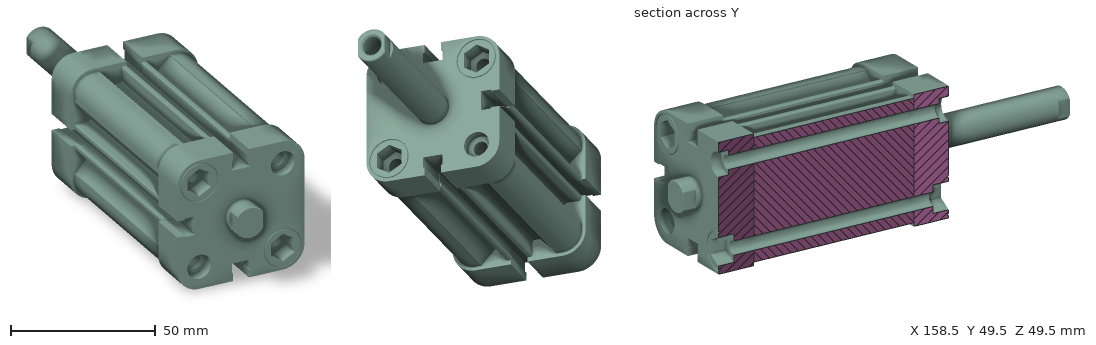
import cadquery as cq
import math


ROD_LENGTH = 158.5
FRONT_STICK_OUT = 57.0
REAR_STICK_OUT = 7.0
CAP_THICKNESS = 14.5
FRONT_CAP_X = FRONT_STICK_OUT
BARREL_X = FRONT_CAP_X + CAP_THICKNESS
REAR_CAP_X = ROD_LENGTH - REAR_STICK_OUT - CAP_THICKNESS
BARREL_LENGTH = REAR_CAP_X - BARREL_X

ROD_DIAMETER = 12.0
ROD_CHAMFER = 0.3
WRENCH_SIZE = 10.0
WRENCH_FLAT_LENGTH = 5.0
THREAD_DIAMETER = 6.8
THREAD_DEPTH = 12.7
THREAD_MOUTH_DIAMETER = 8.1
DRILL_TIP_ANGLE = 118.0

CAP_SIZE = 49.5
HOLE_SPACING = 32.5
HOLE_OFFSET = HOLE_SPACING / 2
CAP_CORNER_RADIUS = (CAP_SIZE - HOLE_SPACING) / 2
HOLE_DIAMETER = 5.2
COUNTERBORE_DIAMETER = 9.2
COUNTERBORE_DEPTH = 2.5
HEX_SIZE = 9.2
HEX_DEPTH = 4.0
RING_OUTER_DIAMETER = 14.7
RING_INNER_DIAMETER = 13.8
RING_DEPTH = 0.3

CAP_SLOT_DEPTH = 6.8
CAP_SLOT_MOUTH_WIDTH = 6.2
CAP_SLOT_MOUTH_DEPTH = 3.0
CAP_SLOT_INNER_WIDTH = 7.1

BARREL_SIZE = 46.8
TUBE_RADIUS = (BARREL_SIZE - HOLE_SPACING) / 2
TUBE_EDGE = 13.8
VALLEY_OUTER = 8.4
VALLEY_FLOOR = 17.0
VALLEY_INNER = 5.5

RIB_SIDE = 4.9
RIB_TOP = 23.1
RIB_FOOT_CHAMFER = VALLEY_INNER - RIB_SIDE
RIB_ROUNDING = 0.8
LIP_WIDTH = 5.4
LIP_CHAMFER = 0.5
LIP_BOTTOM = 21.7
BARREL_SLOT_WIDTH = 6.7
BARREL_SLOT_FLOOR = CAP_SIZE / 2 - CAP_SLOT_DEPTH

SLOTTED_SIDES = (0, 90, 180)


def plane_at(x):
    """Cross-section plane at x, with local x along +Y and local y along +Z."""
    return cq.Workplane(cq.Plane(origin=(x, 0, 0), xDir=(0, 1, 0), normal=(1, 0, 0)))


def corner_points():
    return [(y, z) for y in (-HOLE_OFFSET, HOLE_OFFSET) for z in (-HOLE_OFFSET, HOLE_OFFSET)]


def on_slotted_sides(feature):
    return [feature.rotate((0, 0, 0), (1, 0, 0), angle) for angle in SLOTTED_SIDES]


def make_cap_slot(x):
    mouth_height = CAP_SLOT_MOUTH_DEPTH
    inner_height = CAP_SLOT_DEPTH - CAP_SLOT_MOUTH_DEPTH
    top = CAP_SIZE / 2
    mouth = plane_at(x).center(0, top - mouth_height / 2).rect(CAP_SLOT_MOUTH_WIDTH, mouth_height)
    inner = plane_at(x).center(0, top - mouth_height - inner_height / 2).rect(
        CAP_SLOT_INNER_WIDTH, inner_height
    )
    return mouth.extrude(CAP_THICKNESS).union(inner.extrude(CAP_THICKNESS))


def make_cap(x, outer_face_x, inward):
    """End cap starting at x; corner recesses sink from outer_face_x in the inward X direction."""
    cap = plane_at(x).rect(CAP_SIZE, CAP_SIZE).extrude(CAP_THICKNESS)
    cap = cap.edges("|X").fillet(CAP_CORNER_RADIUS)
    for slot in on_slotted_sides(make_cap_slot(x)):
        cap = cap.cut(slot)
    cap = cap.cut(plane_at(x).circle(ROD_DIAMETER / 2).extrude(CAP_THICKNESS))
    cap = cap.cut(plane_at(x).pushPoints(corner_points()).circle(HOLE_DIAMETER / 2).extrude(CAP_THICKNESS))

    socket_corners = [(y, z) for y, z in corner_points() if y * z < 0]
    plain_corners = [(y, z) for y, z in corner_points() if y * z > 0]
    face = plane_at(outer_face_x)
    counterbores = face.pushPoints(plain_corners).circle(COUNTERBORE_DIAMETER / 2)
    cap = cap.cut(counterbores.extrude(inward * COUNTERBORE_DEPTH))
    rings = face.pushPoints(socket_corners).circle(RING_OUTER_DIAMETER / 2).circle(RING_INNER_DIAMETER / 2)
    cap = cap.cut(rings.extrude(inward * RING_DEPTH))
    hex_corner_diameter = HEX_SIZE / math.cos(math.radians(30))
    for y, z in socket_corners:
        socket = plane_at(outer_face_x).polygon(6, hex_corner_diameter).extrude(inward * HEX_DEPTH)
        upright_socket = socket.rotate((0, 0, 0), (1, 0, 0), 30)
        cap = cap.cut(upright_socket.translate((0, y, z)))
    return cap


def make_side_relief():
    """Everything missing from the +Z side of the barrel: two valleys beside the ribs."""
    above = BARREL_SIZE
    tube_edge_height = HOLE_OFFSET + math.sqrt(TUBE_RADIUS**2 - (HOLE_OFFSET - TUBE_EDGE) ** 2)
    flank_foot_height = tube_edge_height - (TUBE_EDGE - VALLEY_OUTER)
    valley_bottom_edge = VALLEY_OUTER - (flank_foot_height - VALLEY_FLOOR)
    round_start = RIB_TOP - RIB_ROUNDING
    round_middle = RIB_ROUNDING * (1 - math.sqrt(0.5))
    valley = (
        plane_at(BARREL_X)
        .moveTo(TUBE_EDGE, above)
        .lineTo(TUBE_EDGE, tube_edge_height)
        .lineTo(valley_bottom_edge, VALLEY_FLOOR)
        .lineTo(VALLEY_INNER, VALLEY_FLOOR)
        .lineTo(RIB_SIDE, VALLEY_FLOOR + RIB_FOOT_CHAMFER)
        .lineTo(RIB_SIDE, round_start)
        .threePointArc((RIB_SIDE - round_middle, RIB_TOP - round_middle), (RIB_SIDE - RIB_ROUNDING, RIB_TOP))
        .lineTo(0, RIB_TOP)
        .lineTo(0, above)
        .close()
        .extrude(BARREL_LENGTH)
    )
    return valley.union(valley.mirror("XZ"))


def make_barrel_slot():
    lip = LIP_WIDTH / 2
    inner = BARREL_SLOT_WIDTH / 2
    half_slot = (
        plane_at(BARREL_X)
        .moveTo(0, RIB_TOP)
        .lineTo(lip + LIP_CHAMFER, RIB_TOP)
        .lineTo(lip, RIB_TOP - LIP_CHAMFER)
        .lineTo(lip, LIP_BOTTOM)
        .lineTo(inner, LIP_BOTTOM)
        .lineTo(inner, BARREL_SLOT_FLOOR)
        .lineTo(0, BARREL_SLOT_FLOOR)
        .close()
        .extrude(BARREL_LENGTH)
    )
    return half_slot.union(half_slot.mirror("XZ"))


def make_barrel():
    barrel = plane_at(BARREL_X).rect(BARREL_SIZE, BARREL_SIZE).extrude(BARREL_LENGTH)
    barrel = barrel.edges("|X").fillet(TUBE_RADIUS)
    for relief in on_slotted_sides(make_side_relief()):
        barrel = barrel.cut(relief)
    for slot in on_slotted_sides(make_barrel_slot()):
        barrel = barrel.cut(slot)
    barrel = barrel.cut(plane_at(BARREL_X).circle(ROD_DIAMETER / 2).extrude(BARREL_LENGTH))
    holes = plane_at(BARREL_X).pushPoints(corner_points()).circle(HOLE_DIAMETER / 2)
    return barrel.cut(holes.extrude(BARREL_LENGTH))


def make_thread_hole():
    """Blind hole at the front rod end: countersunk mouth, straight bore and conical drill tip."""
    bore = THREAD_DIAMETER / 2
    mouth = THREAD_MOUTH_DIAMETER / 2
    tip_length = bore / math.tan(math.radians(DRILL_TIP_ANGLE / 2))
    half_section = (
        cq.Workplane("XZ")
        .moveTo(0, 0)
        .lineTo(0, mouth)
        .lineTo(mouth - bore, bore)
        .lineTo(THREAD_DEPTH, bore)
        .lineTo(THREAD_DEPTH + tip_length, 0)
        .close()
    )
    return half_section.revolve(360, (0, 0, 0), (1, 0, 0))


def make_rod():
    rod = plane_at(0).circle(ROD_DIAMETER / 2).extrude(ROD_LENGTH)
    rod = rod.faces("<X or >X").chamfer(ROD_CHAMFER)
    for start_x in (0, ROD_LENGTH - WRENCH_FLAT_LENGTH):
        for side in (-1, 1):
            flat_centre = side * (WRENCH_SIZE + ROD_DIAMETER) / 2
            flat = plane_at(start_x).center(flat_centre, 0).rect(ROD_DIAMETER, ROD_DIAMETER)
            rod = rod.cut(flat.extrude(WRENCH_FLAT_LENGTH))
    return rod.cut(make_thread_hole())


front_cap = make_cap(FRONT_CAP_X, FRONT_CAP_X, 1.6)
rear_cap = make_cap(REAR_CAP_X, REAR_CAP_X + CAP_THICKNESS, -1.6)
barrel = make_barrel()
rod = make_rod()

result = cq.Compound.makeCompound([front_cap.val(), barrel.val(), rear_cap.val(), rod.val()])